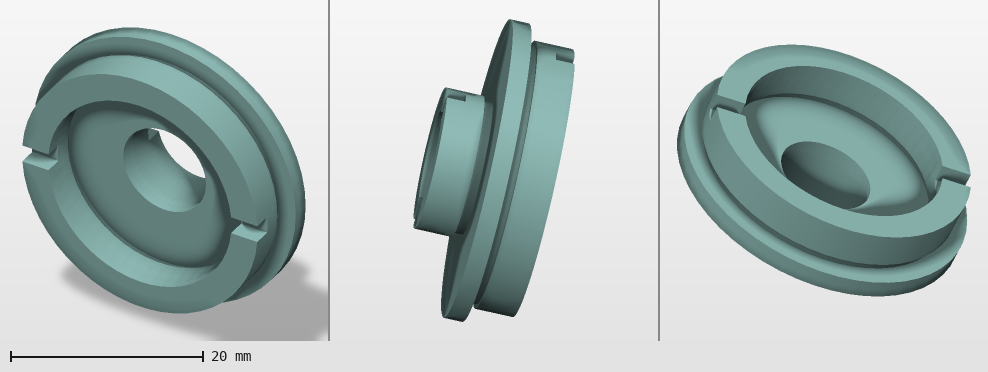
import cadquery as cq

flange_thickness = 2.0
neck_length = flange_thickness / 2
collar_length = 2 * flange_thickness
total_length = flange_thickness + 2 * (neck_length + collar_length)
front_y = -total_length / 2

flange_diameter = 31.75
rim_diameter = 28.5
front_neck_diameter = 27.5
boss_diameter = 15.02
rear_neck_diameter = 14.03
bore_diameter = 10.0
recess_diameter = 22.2

recess_depth = collar_length + neck_length
undercut_width = neck_length
undercut_diameter = 23.2
slot_width = flange_thickness
slot_depth = flange_thickness


def disc(diameter, start_y, length):
    """Cylinder along +Y starting at start_y."""
    plane = cq.Workplane("XZ", origin=(0, start_y, 0))
    return plane.circle(diameter / 2).extrude(-length)


def cross_slot(center_y):
    """Bar along X that cuts a driver slot into an end face; half of it lies outside the part."""
    bar = cq.Workplane("XY").box(flange_diameter, 2 * slot_depth, slot_width)
    return bar.translate((0, center_y, 0))


sections = [
    (rim_diameter, collar_length),
    (front_neck_diameter, neck_length),
    (flange_diameter, flange_thickness),
    (rear_neck_diameter, neck_length),
    (boss_diameter, collar_length),
]
body = cq.Workplane("XZ")
section_y = front_y
for diameter, length in sections:
    body = body.union(disc(diameter, section_y, length))
    section_y += length

body = body.cut(disc(recess_diameter, front_y, recess_depth))
undercut_y = front_y + recess_depth - undercut_width
body = body.cut(disc(undercut_diameter, undercut_y, undercut_width))
body = body.cut(disc(bore_diameter, front_y, total_length))

for end_y in (front_y, -front_y):
    body = body.cut(cross_slot(end_y))

result = body